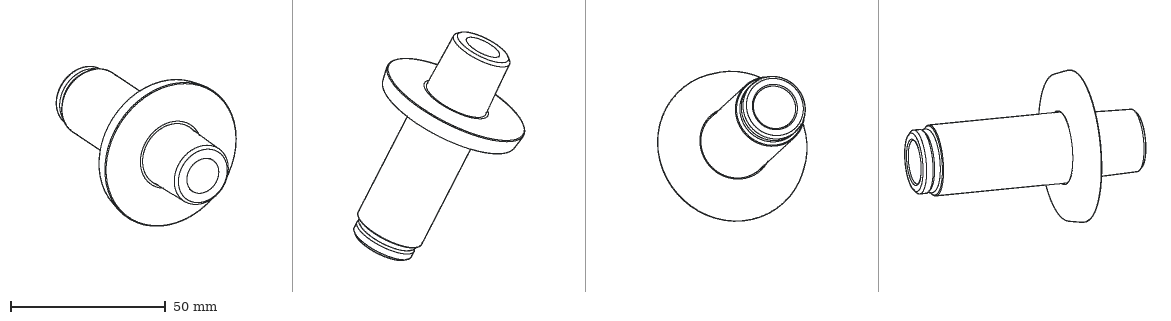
import cadquery as cq
import math

length = 76.0
flange_front = 50.15
flange_back = 55.9

spindle_radius = 11.55
shoulder_x = 6.0
shoulder_chamfer = 0.3
nose_radius = 10.4
nose_chamfer = 0.9
nose_land_end = 3.1
bore_radius = 7.1
bore_mouth_chamfer = 0.45

seal_section_radius = 1.0
seal_center_x = 4.9
seal_center_radius = nose_radius - seal_section_radius
groove_radius = seal_center_radius - seal_section_radius
groove_start = seal_center_x - seal_section_radius

flange_diameter = 49.5
flange_radius = flange_diameter / 2
flange_rim_width = 0.9
flange_taper_angle = 10.0
flange_front_fillet = 0.6
flange_back_chamfer = 0.3
countersink = 0.45

hub_base_radius = 10.7
hub_collar = 0.2
hub_tip_radius = 10.2
hub_chamfer = 1.0
hub_bore_radius = 6.0
hub_mouth_radius = 6.9


def revolve_profile(points):
    """Turn a closed (x, radius) profile about the X axis."""
    profile = cq.Workplane("XY").polyline(points).close()
    return profile.revolve(360, (0, 0, 0), (1, 0, 0))


def make_spindle():
    """Bored tube with a chamfered nose, a seal groove and a shoulder."""
    nose_slope_drop = groove_start - nose_land_end
    return revolve_profile([
        (0, bore_radius + bore_mouth_chamfer),
        (0, nose_radius - nose_chamfer),
        (nose_chamfer, nose_radius),
        (nose_land_end, nose_radius),
        (groove_start, nose_radius - nose_slope_drop),
        (groove_start, groove_radius),
        (shoulder_x, groove_radius),
        (shoulder_x, spindle_radius - shoulder_chamfer),
        (shoulder_x + shoulder_chamfer, spindle_radius),
        (flange_back, spindle_radius),
        (flange_back, bore_radius),
        (bore_mouth_chamfer, bore_radius),
    ])


def make_seal_ring():
    """Round-section ring seated in the spindle groove."""
    section = cq.Workplane("XY").center(seal_center_x, seal_center_radius).circle(seal_section_radius)
    return section.revolve(360, (-seal_center_x, -seal_center_radius, 0),
                           (0.75 - seal_center_x, -seal_center_radius, 0))


def make_flange():
    """Disc with a conical rim, fitted on the end of the spindle."""
    rim_start = flange_back - flange_rim_width
    taper_rise = (rim_start - flange_front) * math.tan(math.radians(flange_taper_angle))
    disc = revolve_profile([
        (flange_front, spindle_radius + countersink),
        (flange_front, flange_radius - taper_rise),
        (rim_start, flange_radius),
        (flange_back - flange_back_chamfer, flange_radius),
        (flange_back, flange_radius - flange_back_chamfer),
        (flange_back, spindle_radius),
        (flange_front + countersink, spindle_radius),
    ])
    front_rim = disc.faces("<X").edges(cq.selectors.RadiusNthSelector(-1))
    return front_rim.fillet(flange_front_fillet)


def make_hub():
    """Tapered hub behind the flange, with a conical lead-in to its bore."""
    lead_in = hub_mouth_radius - hub_bore_radius
    return revolve_profile([
        (flange_back, hub_mouth_radius),
        (flange_back, hub_base_radius),
        (flange_back + hub_collar, hub_base_radius),
        (length - hub_chamfer, hub_tip_radius),
        (length, hub_tip_radius - hub_chamfer),
        (length, hub_bore_radius),
        (flange_back + lead_in, hub_bore_radius),
    ])


spindle = make_spindle()
seal_ring = make_seal_ring()
flange = make_flange()
hub = make_hub()

result = cq.Compound.makeCompound([spindle.val(), seal_ring.val(), flange.val(), hub.val()])